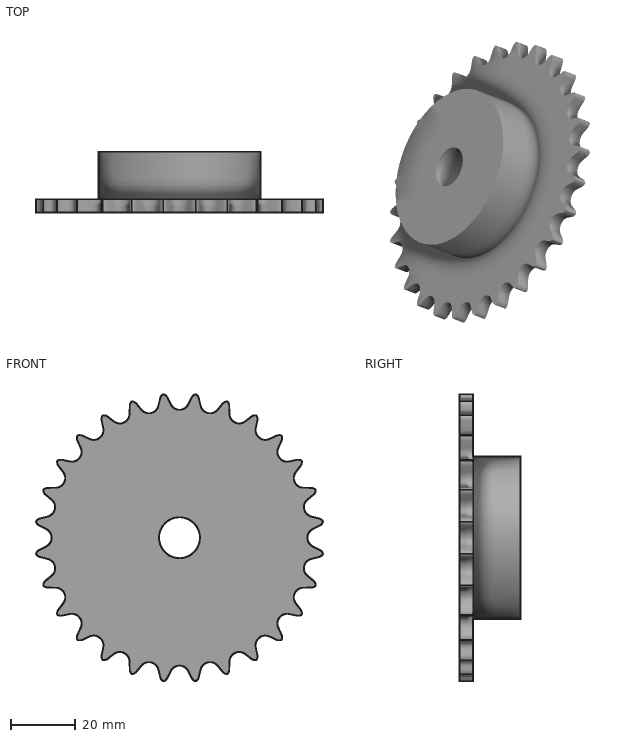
import cadquery as cq
import math

INCH = 25.4

tooth_count = 28
chain_pitch = 0.375 * INCH
roller_diameter = 0.2 * INCH
plate_thickness = 0.168 * INCH
overall_length = 0.75 * INCH
hub_diameter = 2.0 * INCH
bore_diameter = 0.5 * INCH

roller_clearance = 0.05
seating_radius = 3.0
flank_angle = 26.8
topping_radius = 2.0

tooth_angle = 360 / tooth_count
half_tooth_radians = math.radians(tooth_angle / 2)
pitch_radius = chain_pitch / (2 * math.sin(half_tooth_radians))
root_radius = pitch_radius - roller_diameter / 2 - roller_clearance
tip_radius = chain_pitch * (0.6 + 1 / math.tan(half_tooth_radians)) / 2


def polar(centre, radius, angle):
    """Point at a distance and an angle in degrees from a centre."""
    turn = math.radians(angle)
    return (centre[0] + radius * math.cos(turn), centre[1] + radius * math.sin(turn))


def direction(start, end):
    """Angle in degrees, from 0 to 360, of the line from one point to another."""
    return math.degrees(math.atan2(end[1] - start[1], end[0] - start[0])) % 360


def mirrored(point):
    """Point reflected in the centre line of the tooth space."""
    return (-point[0], point[1])


def turned(point, angle):
    """Point rotated about the sprocket axis by an angle in degrees."""
    return polar((0, 0), math.hypot(*point), direction((0, 0), point) + angle)


def right_flank_points():
    """Points from the root of the upright tooth space to the tooth tip on its right."""
    seating_centre = (0, root_radius + seating_radius)
    seat_end = polar(seating_centre, seating_radius, -flank_angle)
    tip = polar((0, 0), tip_radius, 90 - tooth_angle / 2)

    offset_start = polar(seat_end, topping_radius, -flank_angle)
    tip_distance = math.dist(offset_start, tip)
    tip_turn = math.radians(direction(offset_start, tip) - (90 - flank_angle))
    tip_along = tip_distance * math.cos(tip_turn)
    tip_aside = tip_distance * math.sin(tip_turn)
    flank_length = tip_along - math.sqrt(topping_radius**2 - tip_aside**2)
    topping_centre = polar(offset_start, flank_length, 90 - flank_angle)

    topping_start_angle = 180 - flank_angle
    topping_mid_angle = (topping_start_angle + direction(topping_centre, tip)) / 2
    return {
        "root": polar(seating_centre, seating_radius, -90),
        "seat_end": seat_end,
        "flank_end": polar(topping_centre, topping_radius, topping_start_angle),
        "topping_mid": polar(topping_centre, topping_radius, topping_mid_angle),
        "tip": tip,
    }


def add_tooth_space(outline, points, angle):
    """Continue the outline clockwise from one tooth tip through a tooth space to the next tip."""
    right = {name: turned(point, angle) for name, point in points.items()}
    left = {name: turned(mirrored(point), angle) for name, point in points.items()}
    return (
        outline.threePointArc(left["topping_mid"], left["flank_end"])
        .lineTo(*left["seat_end"])
        .threePointArc(right["root"], right["seat_end"])
        .lineTo(*right["flank_end"])
        .threePointArc(right["topping_mid"], right["tip"])
    )


def toothed_plate():
    """Flat sprocket plate with its front face at Y = 0 and a tooth space on the +Z axis."""
    points = right_flank_points()
    outline = cq.Workplane("XZ").moveTo(*mirrored(points["tip"]))
    for tooth in range(tooth_count):
        outline = add_tooth_space(outline, points, -tooth_angle * tooth)
    return outline.close().extrude(-plate_thickness)


def cylinder(diameter):
    """Full-length cylinder along the sprocket axis."""
    return cq.Workplane("XZ").circle(diameter / 2).extrude(-overall_length)


result = toothed_plate().union(cylinder(hub_diameter)).cut(cylinder(bore_diameter))